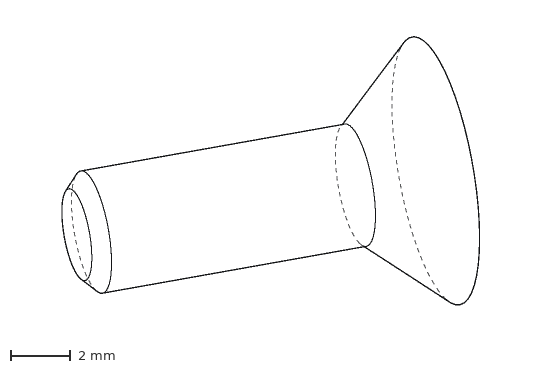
import cadquery as cq

total_length = 12.7
head_diameter = 9.12
head_height = 2.85
shank_diameter = 4.17
tip_chamfer = 0.52

head_radius = head_diameter / 2
shank_radius = shank_diameter / 2
tip_radius = shank_radius - tip_chamfer

half_profile = (
    cq.Workplane("XY")
    .moveTo(0, 0)
    .lineTo(tip_radius, 0)
    .lineTo(shank_radius, tip_chamfer)
    .lineTo(shank_radius, total_length - head_height)
    .lineTo(head_radius, total_length)
    .lineTo(0, total_length)
    .close()
)

result = half_profile.revolve(360, (0, 0, 0), (0, 1, 0))